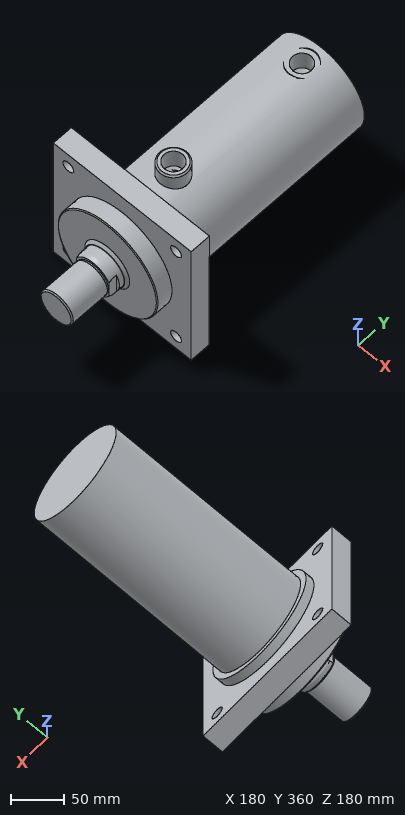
import cadquery as cq


TOTAL_LENGTH = 360.0
GLAND_FACE_Y = 70.0
FLANGE_FRONT_Y = 90.0
FLANGE_THICKNESS = 25.0
COLLAR_LENGTH = 10.0
COLLAR_END_Y = FLANGE_FRONT_Y + FLANGE_THICKNESS + COLLAR_LENGTH

BARREL_DIAMETER = 115.0
COLLAR_DIAMETER = 130.0
COLLAR_CHAMFER = 1.0
FLANGE_SIZE = 180.0
FLANGE_HOLE_DIAMETER = 14.0
FLANGE_HOLE_SPACING = 140.5
LIP_LENGTH = 3.2
LIP_BASE_DIAMETER = 58.5
LIP_END_DIAMETER = 51.5
BORE_DIAMETER = 100.0
BORE_START_Y = 165.5
END_CAP_THICKNESS = 38.0

PORT_OUTER_DIAMETER = 35.0
PORT_HOLE_DIAMETER = 23.8
PORT_DRILL_DEPTH = 24.5
PORT_DRILL_TIP_DEPTH = 7.2
FRONT_PORT_Y = 160.0
FRONT_PORT_TOP_Z = 76.5
FRONT_PORT_CHAMFER = 1.8
REAR_PORT_Y = TOTAL_LENGTH - 25.2
SPOT_FACE_DEPTH = 1.62
SPOT_FACE_Z = BARREL_DIAMETER / 2 - SPOT_FACE_DEPTH

ROD_DIAMETER = 50.0
ROD_SHOULDER_Y = 54.7
TAPER_FRONT_Y = 50.0
TAPER_FRONT_DIAMETER = 47.0
NECK_DIAMETER = 41.5
NECK_FRONT_Y = 48.2
TIP_DIAMETER = 42.0
TIP_CHAMFER = 1.5
FLAT_SPACING = 42.0
FLAT_END_Y = 60.0


def cylinder_y(diameter, start_y, end_y):
    """Cylinder on the Y axis between two stations."""
    base = cq.Workplane("XZ", origin=(0, start_y, 0))
    return base.circle(diameter / 2).extrude(start_y - end_y)


def cone_y(front_diameter, rear_diameter, front_y, rear_y):
    """Truncated cone on the Y axis, front end toward the rod tip."""
    outline = [
        (0, front_y),
        (front_diameter / 2, front_y),
        (rear_diameter / 2, rear_y),
        (0, rear_y),
    ]
    return cq.Workplane("XY").polyline(outline).close().revolve(360, (0, 0), (0, 1))


def wiper_lip():
    """Cone that narrows from the gland face toward the rod tip."""
    lip_front_y = GLAND_FACE_Y - LIP_LENGTH
    return cone_y(LIP_END_DIAMETER, LIP_BASE_DIAMETER, lip_front_y, GLAND_FACE_Y)


def flange():
    """Square plate with four through holes."""
    plate = cq.Workplane("XZ", origin=(0, FLANGE_FRONT_Y, 0))
    plate = plate.rect(FLANGE_SIZE, FLANGE_SIZE).extrude(-FLANGE_THICKNESS)
    return (
        plate.faces("<Y").workplane(centerOption="CenterOfBoundBox")
        .rect(FLANGE_HOLE_SPACING, FLANGE_HOLE_SPACING, forConstruction=True)
        .vertices().hole(FLANGE_HOLE_DIAMETER)
    )


def port_boss():
    """Round boss that stands on the barrel around the front port."""
    boss = cq.Workplane("XY", origin=(0, FRONT_PORT_Y, FRONT_PORT_TOP_Z))
    boss = boss.circle(PORT_OUTER_DIAMETER / 2).extrude(-PORT_DRILL_DEPTH)
    return boss.faces(">Z").chamfer(FRONT_PORT_CHAMFER)


def port_drilling(port_y, mouth_z):
    """Blind drilled hole with a conical bottom, as a cutting tool."""
    radius = PORT_HOLE_DIAMETER / 2
    wall_end_z = mouth_z - PORT_DRILL_DEPTH
    outline = [
        (0, wall_end_z - PORT_DRILL_TIP_DEPTH),
        (radius, wall_end_z),
        (radius, mouth_z),
        (0, mouth_z),
    ]
    section = cq.Workplane("XZ", origin=(0, port_y, 0)).polyline(outline).close()
    return section.revolve(360, (0, 0), (0, 1))


def rear_spot_face():
    """Shallow round cut that gives the rear port a flat seat."""
    tool = cq.Workplane("XY", origin=(0, REAR_PORT_Y, SPOT_FACE_Z))
    return tool.circle(PORT_OUTER_DIAMETER / 2).extrude(SPOT_FACE_DEPTH)


def make_housing():
    """Barrel, collar, flange and port boss, hollowed for the rod."""
    collar = cylinder_y(COLLAR_DIAMETER, GLAND_FACE_Y, COLLAR_END_Y)
    collar = collar.faces("<Y").chamfer(COLLAR_CHAMFER)
    body = cylinder_y(BARREL_DIAMETER, COLLAR_END_Y, TOTAL_LENGTH)
    body = body.union(collar).union(flange()).union(wiper_lip()).union(port_boss())

    bore_end_y = TOTAL_LENGTH - END_CAP_THICKNESS
    body = body.cut(cylinder_y(BORE_DIAMETER, BORE_START_Y, bore_end_y))
    body = body.cut(cylinder_y(ROD_DIAMETER, 0, bore_end_y))
    body = body.cut(rear_spot_face())
    body = body.cut(port_drilling(FRONT_PORT_Y, FRONT_PORT_TOP_Z))
    return body.cut(port_drilling(REAR_PORT_Y, SPOT_FACE_Z))


def make_rod():
    """Stepped rod that ends against the rear cap."""
    shank = cylinder_y(ROD_DIAMETER, ROD_SHOULDER_Y, TOTAL_LENGTH - END_CAP_THICKNESS)
    taper = cone_y(TAPER_FRONT_DIAMETER, ROD_DIAMETER, TAPER_FRONT_Y, ROD_SHOULDER_Y)
    neck = cylinder_y(NECK_DIAMETER, NECK_FRONT_Y, TAPER_FRONT_Y)
    tip = cylinder_y(TIP_DIAMETER, 0, NECK_FRONT_Y).faces("<Y").chamfer(TIP_CHAMFER)
    body = shank.union(taper).union(neck).union(tip)

    flat_length = FLAT_END_Y - TAPER_FRONT_Y
    flat_center_y = (FLAT_END_Y + TAPER_FRONT_Y) / 2
    for side in (-1, 1):
        center_x = side * (FLAT_SPACING + ROD_DIAMETER) / 2
        cutter = cq.Workplane("XY").box(ROD_DIAMETER, flat_length, ROD_DIAMETER)
        body = body.cut(cutter.translate((center_x, flat_center_y, 0)))
    return body


housing = make_housing()
rod = make_rod()

result = cq.Compound.makeCompound([housing.val(), rod.val()])